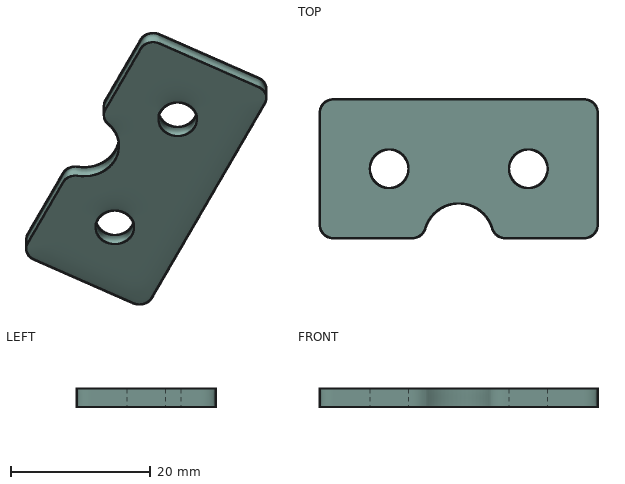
import cadquery as cq

length = 40.0
width = length / 2
thickness = 2.7
corner_radius = 2.0

hole_diameter = 5.5
hole_spacing = length / 2

notch_radius = width / 4
notch_lip_radius = corner_radius


def rounded_plate():
    plate = cq.Workplane("XY").box(length, width, thickness)
    return plate.edges("|Z").fillet(corner_radius)


def cut_notch(plate):
    front_y = -width / 2
    cutter = (
        cq.Workplane("XY")
        .center(0, front_y)
        .circle(notch_radius)
        .extrude(thickness, both=True)
    )
    notched = plate.cut(cutter)
    margin = 0.4
    lip_edges = cq.selectors.BoxSelector(
        (-notch_radius - margin, front_y - margin, -thickness),
        (notch_radius + margin, front_y + margin, thickness),
    )
    return notched.edges("|Z").edges(lip_edges).fillet(notch_lip_radius)


def drill_holes(plate):
    hole_centres = [(-hole_spacing / 2, 0), (hole_spacing / 2, 0)]
    return plate.faces(">Z").workplane(origin=(0, 0, 0)).pushPoints(hole_centres).hole(hole_diameter)


result = drill_holes(cut_notch(rounded_plate()))